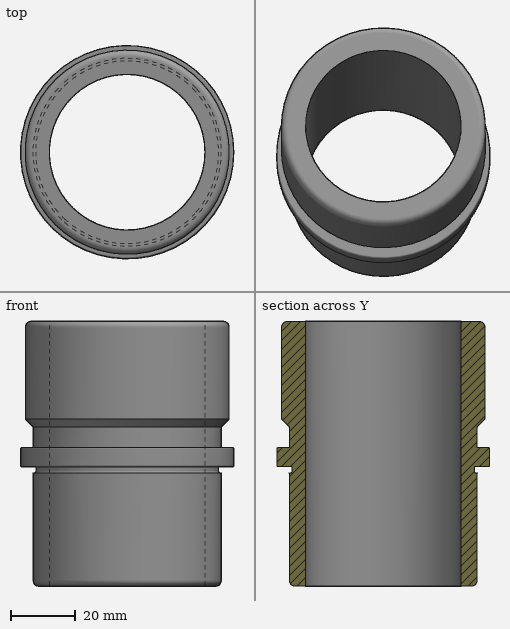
import cadquery as cq

height = 82.0
bore_diameter = 48.05

spigot_diameter = 58.2
spigot_top = 35.1
spigot_edge_radius = 1.8

undercut_diameter = 56.6
undercut_fillet = 0.5

flange_diameter = 66.0
flange_bottom = 36.9
flange_top = 43.0
flange_edge_radius = 0.5

head_diameter = 63.1
head_bottom = 49.2
head_taper_height = (head_diameter - spigot_diameter) / 2
head_edge_radius = 2.0


def cylinder(diameter, bottom, top):
    """Solid cylinder on the Z axis between two heights."""
    return cq.Workplane("XY").workplane(offset=bottom).circle(diameter / 2).extrude(top - bottom)


spigot = cylinder(spigot_diameter, 0, spigot_top).faces("<Z").edges().fillet(spigot_edge_radius)
undercut = cylinder(undercut_diameter, spigot_top, flange_bottom)

ledge_corner = cq.selectors.BoxSelector(
    (-undercut_diameter, -undercut_diameter, spigot_top - undercut_fillet),
    (undercut_diameter, undercut_diameter, spigot_top + undercut_fillet),
)
lower_body = (
    spigot.union(undercut)
    .edges("%CIRCLE").edges(ledge_corner).edges(cq.selectors.RadiusNthSelector(0))
    .fillet(undercut_fillet)
)

flange = cylinder(flange_diameter, flange_bottom, flange_top).edges("%CIRCLE").fillet(flange_edge_radius)
neck = cylinder(spigot_diameter, flange_top, head_bottom)

head = (
    cylinder(head_diameter, head_bottom, height)
    .faces("<Z").edges().chamfer(head_taper_height)
    .faces(">Z").edges().fillet(head_edge_radius)
)

body = lower_body.union(flange).union(neck).union(head)
result = body.cut(cylinder(bore_diameter, 0, height))